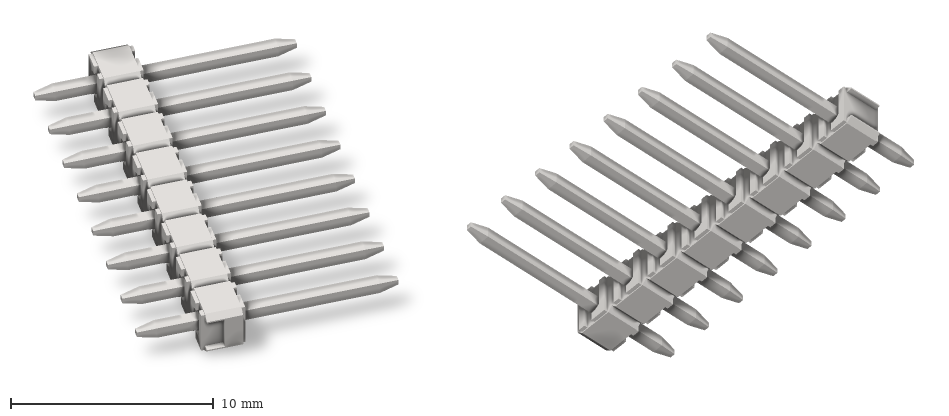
import cadquery as cq
import math


length = 20.32
pin_count = 8
pitch = length / pin_count
height = 2.5
depth = 1.87
notch_half_width = 0.26
edge_depth = 0.26
pad_half_width = 0.93
socket_height = 1.8
right_socket_depth = depth / 2

pad_thickness = 0.2
pad_height = 2.35
groove_width = 1.08
relief_radius = 0.7

pin_width = 0.63
pin_tip_width = 0.3
pin_taper = 1.0
pin_front_reach = 3.27
pin_back_reach = 8.31

half_length = length / 2
half_height = height / 2
half_depth = depth / 2
groove_half_width = groove_width / 2
end_chamfer = pitch / 2 - pad_half_width
pin_positions = [(i + 0.5) * pitch - half_length for i in range(pin_count)]


def make_housing():
    body = cq.Workplane("XY").box(length, depth, height)

    for side in (1, -1):
        crest_z = side * half_height
        root_z = side * (half_height - edge_depth)

        for i in range(1, pin_count):
            x = i * pitch - half_length
            notch = [(x - notch_half_width, crest_z), (x, root_z), (x + notch_half_width, crest_z)]
            body = body.cut(extrude_through_housing(notch))

        for end in (1, -1):
            end_x = end * half_length
            corner = [(end_x, crest_z), (end_x, root_z), (end_x - end * end_chamfer, crest_z)]
            body = body.cut(extrude_through_housing(corner))

    left_socket = make_socket(-1, depth)
    right_socket = make_socket(1, right_socket_depth)
    return body.cut(left_socket).cut(right_socket)


def make_socket(end, socket_depth):
    """Cutter for the opening between the lips at one end, starting at the front face."""
    center_x = end * (half_length - end_chamfer / 2)
    center_y = (socket_depth - depth) / 2
    cutter = cq.Workplane("XY").box(end_chamfer, socket_depth, socket_height)
    return cutter.translate((center_x, center_y, 0))


def extrude_through_housing(outline):
    return cq.Workplane("XZ").polyline(outline).close().extrude(half_depth, both=True)


def make_pad_pair():
    """Two front pads around the S-shaped groove of one pin centred on X = 0."""
    half_pad_height = pad_height / 2
    wall_angle = math.asin(groove_half_width / relief_radius)
    arc_middle = (-relief_radius * math.sin(wall_angle / 2), relief_radius * math.cos(wall_angle / 2))
    arc_end = (-groove_half_width, relief_radius * math.cos(wall_angle))
    left_pad = (
        cq.Workplane("XZ", origin=(0, -half_depth, 0))
        .moveTo(-pad_half_width, half_pad_height)
        .lineTo(0, half_pad_height)
        .lineTo(0, relief_radius)
        .threePointArc(arc_middle, arc_end)
        .lineTo(-groove_half_width, -half_pad_height)
        .lineTo(-pad_half_width, -half_pad_height)
        .close()
        .extrude(pad_thickness)
    )
    right_pad = left_pad.rotate((0, 0, 0), (0, 1, 0), 180)
    return left_pad.union(right_pad)


def make_pin():
    shank_front = -half_depth - pin_front_reach + pin_taper
    shank_back = half_depth + pin_back_reach - pin_taper
    shank = (
        cq.Workplane("XZ", origin=(0, shank_front, 0))
        .rect(pin_width, pin_width)
        .extrude(shank_front - shank_back)
    )
    return shank.union(make_taper(shank_front, -1)).union(make_taper(shank_back, 1))


def make_taper(base_y, direction):
    """Square taper from base_y towards the tip; direction is the sign along Y."""
    return (
        cq.Workplane("XZ", origin=(0, base_y, 0))
        .rect(pin_width, pin_width)
        .workplane(offset=-direction * pin_taper)
        .rect(pin_tip_width, pin_tip_width)
        .loft(ruled=True)
    )


front_pads = make_pad_pair()
back_pads = front_pads.rotate((0, 0, 0), (0, 0, 1), 180)
position_parts = make_pin().union(front_pads).union(back_pads)

result = make_housing()
for pin_x in pin_positions:
    result = result.union(position_parts.translate((pin_x, 0, 0)))